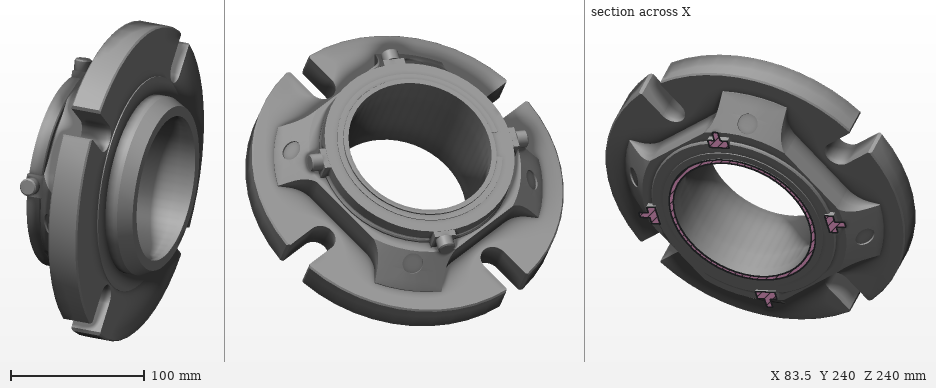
import cadquery as cq
import math

QUARTER_TURNS = (0, 90, 180, 270)

collar_face = 1.5
collar_back = 12.5
rim_face = 14.4
gland_face = 16.8
flange_front = 39.2
flange_back = 62.9
gasket_back = 63.7
bush_shoulder = 73.1
overall_length = 83.46

bore_radius = 110.01 / 2
sleeve_radius = 117.45 / 2
snap_ring_inner_radius = 118.26 / 2
snap_ring_outer_radius = 63.5
snap_ring_face = 0.8
snap_ring_gap_angle = 20
collar_radius = 146.05 / 2
collar_chamfer = 1.0
rim_radius = 147.57 / 2
rim_chamfer = 1.0
rim_land_radius = 64.0
rim_land_height = 0.8

lug_angle = -15
lug_width = 16.6
lug_top_radius = 77.4
lug_bottom_radius = 70.0
lug_face = 1.7
lug_back = gland_face
screw_radius = 13 / 2
screw_x = 6.6
screw_top_radius = 86.0
screw_chamfer = 1.0

flat_distance = 75.75
arm_half_width = 25.65
arm_fillet = 25.0
cone_small_radius = 163.5 / 2
cone_large_radius = 103.4
port_diameter = 15.5
side_port_radius = 92.5
end_port_radius = 88.6
port_depth = 1.5

flange_radius = 240.03 / 2
flange_chamfer = 1.2
slot_width = 20.9
slot_center_radius = 93.6
slot_mouth_corner = 75.6

gasket_radius = 163.5 / 2
bush_radius = 136.14 / 2
bush_end_radius = 125.4 / 2


def disc(x_start, x_end, radius):
    """Solid cylinder on the X axis."""
    return cq.Workplane("YZ", origin=(x_start, 0, 0)).circle(radius).extrude(x_end - x_start)


def ring(x_start, x_end, outer_radius, inner_radius):
    """Hollow cylinder on the X axis."""
    section = cq.Workplane("YZ", origin=(x_start, 0, 0)).circle(outer_radius).circle(inner_radius)
    return section.extrude(x_end - x_start)


def turned(points):
    """Revolve an (x, radius) outline about the X axis."""
    return cq.Workplane("XY").polyline(points).close().revolve(360, (0, 0, 0), (1, 0, 0))


def about_axis(body, angle):
    """Turn a body about the X axis."""
    return body.rotate((0, 0, 0), (1, 0, 0), angle)


def make_flange():
    """Chamfered disc with four open radial slots whose mouths are bevelled."""
    flange = disc(flange_front, flange_back, flange_radius).edges().chamfer(flange_chamfer)
    thickness = flange_back - flange_front
    plane = cq.Workplane("YZ", origin=(flange_front, 0, 0))
    slot_end = plane.center(0, slot_center_radius).circle(slot_width / 2).extrude(thickness)
    reach = flange_radius - slot_center_radius
    channel = plane.center(0, slot_center_radius + reach / 2).rect(slot_width, reach).extrude(thickness)
    mouth_size = flange_radius - slot_mouth_corner
    mouth = (
        plane.center(slot_mouth_corner, slot_mouth_corner)
        .rect(mouth_size, mouth_size, centered=False)
        .extrude(thickness)
    )
    cutter = about_axis(slot_end.union(channel), -45).union(mouth)
    for angle in QUARTER_TURNS:
        flange = flange.cut(about_axis(cutter, angle))
    return flange


def make_port(radial_position):
    """Cutter for a shallow port, square to the cone and placed on the +Z side."""
    port_x = gland_face + radial_position - cone_small_radius
    normal = cq.Vector(-1, 0, 1).normalized()
    floor = cq.Vector(port_x, 0, radial_position) - normal * port_depth
    plane = cq.Plane(floor.toTuple(), (0, 1, 0), normal.toTuple())
    return cq.Workplane(plane).circle(port_diameter / 2).extrude(2 * port_depth)


def make_gland():
    """Square hub with four filleted arms, trimmed by a 45 degree cone."""
    thickness = flange_front - gland_face
    plane = cq.Workplane("YZ", origin=(gland_face, 0, 0))
    hub = about_axis(plane.rect(2 * flat_distance, 2 * flat_distance).extrude(thickness), 45)
    arm_length = 2 * cone_large_radius
    arms = plane.rect(2 * arm_half_width, arm_length).extrude(thickness)
    arms = arms.union(plane.rect(arm_length, 2 * arm_half_width).extrude(thickness))
    gland = hub.union(arms)
    corner_radius = math.hypot(arm_half_width, math.sqrt(2) * flat_distance - arm_half_width)
    inner_corners = [
        edge
        for edge in gland.edges("|X").vals()
        if math.isclose(math.hypot(edge.Center().y, edge.Center().z), corner_radius, rel_tol=1e-6)
    ]
    gland = gland.newObject(inner_corners).fillet(arm_fillet)
    cone_end = gland_face + cone_large_radius - cone_small_radius
    envelope = turned(
        [
            (gland_face, 0),
            (gland_face, cone_small_radius),
            (cone_end, cone_large_radius),
            (flange_front, cone_large_radius),
            (flange_front, 0),
        ]
    )
    gland = gland.intersect(envelope)
    for angle in QUARTER_TURNS:
        on_z_axis = angle % 180 == 0
        port_radius = end_port_radius if on_z_axis else side_port_radius
        gland = gland.cut(about_axis(make_port(port_radius), angle))
    return gland


def make_bush():
    """Rear bush with a tapered end."""
    return turned(
        [
            (gland_face, 0),
            (gland_face, bush_radius),
            (bush_shoulder, bush_radius),
            (overall_length, bush_end_radius),
            (overall_length, 0),
        ]
    )


def make_collar():
    """Front collar, bevelled where it faces the gland."""
    return disc(collar_face, collar_back, collar_radius).faces(">X").edges().chamfer(collar_chamfer)


def make_rim():
    """Bevelled rim on the gland face with a low land in front of it."""
    rim = disc(rim_face, gland_face, rim_radius).faces("<X").edges().chamfer(rim_chamfer)
    return rim.union(disc(rim_face - rim_land_height, rim_face, rim_land_radius))


def make_snap_ring():
    """Split ring standing proud of the collar; the gap starts at -Y and opens upwards."""
    whole = ring(snap_ring_face, collar_face, snap_ring_outer_radius, snap_ring_inner_radius)
    reach = 2 * snap_ring_outer_radius
    gap_angle = math.radians(snap_ring_gap_angle)
    gap = (
        cq.Workplane("YZ")
        .polyline([(0, 0), (-reach, 0), (-reach, reach * math.tan(gap_angle))])
        .close()
        .extrude(collar_face)
    )
    return whole.cut(gap)


def make_lug():
    """Drive lug bridging collar and gland, with its radial screw head."""
    length = lug_back - lug_face
    height = lug_top_radius - lug_bottom_radius
    lug = cq.Workplane("XY", origin=(lug_face + length / 2, 0, lug_bottom_radius))
    lug = lug.rect(length, lug_width).extrude(height)
    screw = cq.Workplane("XY", origin=(screw_x, 0, lug_top_radius)).circle(screw_radius)
    screw = screw.extrude(screw_top_radius - lug_top_radius).faces(">Z").edges().chamfer(screw_chamfer)
    return about_axis(lug.union(screw), lug_angle)


result = make_flange().union(make_gland()).union(disc(flange_back, gasket_back, gasket_radius))
result = result.union(make_bush()).union(make_collar()).union(make_rim())
result = result.union(disc(0, gland_face, sleeve_radius)).union(make_snap_ring())
lug = make_lug()
for angle in QUARTER_TURNS:
    result = result.union(about_axis(lug, angle))
result = result.cut(disc(0, overall_length, bore_radius))